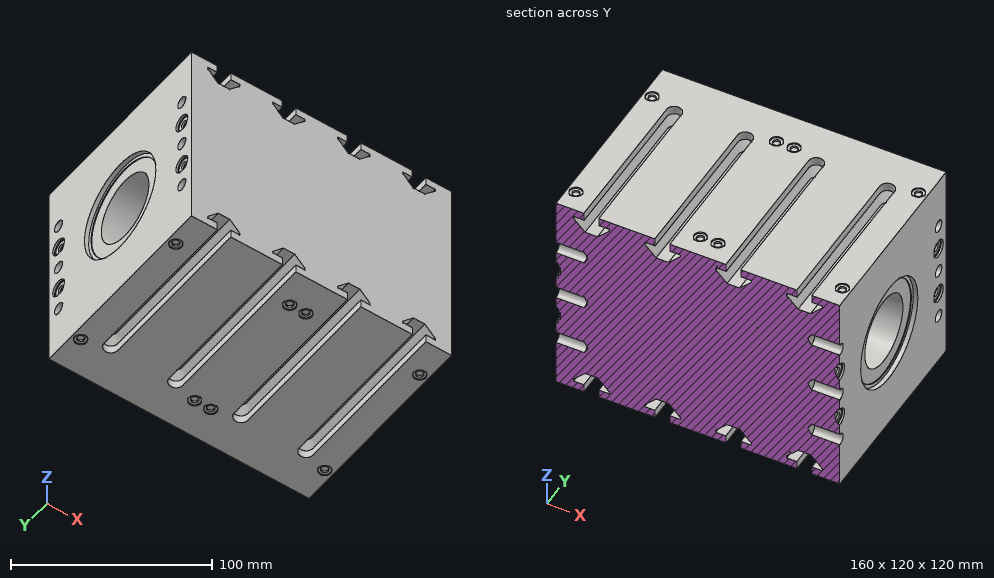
import cadquery as cq
import math

LENGTH = 160.0
DEPTH = 120.0
HEIGHT = 120.0
MID_Z = HEIGHT / 2

SLOT_COUNT = 4
SLOT_PITCH = LENGTH / SLOT_COUNT
SLOT_END_Y = 95.0
NECK_RADIUS = 4.2
HEAD_RADIUS = 10.0
FOOT_RADIUS = 3.5
NECK_DEPTH = 5.0
HEAD_DEPTH = 6.0
SLOT_DEPTH = 12.5

BORE_DIAMETER = 40.0
SEAT_DIAMETER = 60.0
SEAT_DEPTH = 2.5
SEAT_FLOOR_DIAMETER = 56.0
SEAT_FLOOR_DEPTH = 3.0

END_HOLE_INSET = 8.2
END_HOLE_PITCH = 30.0
DRILL_DIAMETER = 6.7
DRILL_DEPTH = 16.0
DRILL_POINT_ANGLE = 118.0
END_RECESS_DIAMETER = 9.8
END_RECESS_DEPTH = 1.1
END_HEAD_DIAMETER = 8.6
END_HEAD_DEPTH = 1.5
END_SOCKET_DIAMETER = 4.3
END_SOCKET_DEPTH = 2.5

FACE_SCREW_INSET_X = 5.0
FACE_SCREW_INSET_Y = 20.0
FACE_RECESS_DIAMETER = 7.0
FACE_RECESS_DEPTH = 0.8
FACE_SOCKET_DIAMETER = 4.2
FACE_SOCKET_DEPTH = 2.0


def stepped_recess(steps):
    """Coaxial cylinders cut down from Z = 0, given as (diameter, depth) pairs."""
    tool = cq.Workplane("XY")
    for diameter, depth in steps:
        tool = tool.union(cq.Workplane("XY").circle(diameter / 2).extrude(-depth))
    return tool


def drilled_hole():
    """Blind hole with a conical drill point, going down from Z = 0."""
    radius = DRILL_DIAMETER / 2
    point_length = radius / math.tan(math.radians(DRILL_POINT_ANGLE / 2))
    outline = [(0, 0), (radius, 0), (radius, -DRILL_DEPTH), (0, -DRILL_DEPTH - point_length)]
    return cq.Workplane("XZ").polyline(outline).close().revolve(360, (0, 0, 0), (0, 1, 0))


def tee_slot():
    """Slot running back from Y = 0, with the swept cutter shape at its closed end."""
    half_profile = [
        (NECK_RADIUS, 0),
        (NECK_RADIUS, -NECK_DEPTH),
        (HEAD_RADIUS, -NECK_DEPTH),
        (HEAD_RADIUS, -HEAD_DEPTH),
        (FOOT_RADIUS, -SLOT_DEPTH),
    ]
    other_half = [(-x, z) for x, z in reversed(half_profile)]
    run = cq.Workplane("XZ").polyline(half_profile + other_half).close().extrude(-SLOT_END_Y)
    cutter_outline = [(0, 0)] + half_profile + [(0, -SLOT_DEPTH)]
    cutter = cq.Workplane("XZ").polyline(cutter_outline).close().revolve(360, (0, 0, 0), (0, 1, 0))
    return run.union(cutter.translate((0, SLOT_END_Y, 0)))


def top_face_cuts():
    """All slots and screw recesses of the top face."""
    cuts = cq.Workplane("XY")
    slot = tee_slot()
    for index in range(SLOT_COUNT):
        cuts = cuts.add(slot.translate(((index + 0.5) * SLOT_PITCH, 0, HEIGHT)))
    screw = stepped_recess([
        (FACE_RECESS_DIAMETER, FACE_RECESS_DEPTH),
        (FACE_SOCKET_DIAMETER, FACE_SOCKET_DEPTH),
    ])
    for mid_offset in (FACE_SCREW_INSET_X, LENGTH / 2 - FACE_SCREW_INSET_X):
        for x in (LENGTH / 2 - mid_offset, LENGTH / 2 + mid_offset):
            for y in (FACE_SCREW_INSET_Y, DEPTH - FACE_SCREW_INSET_Y):
                cuts = cuts.add(screw.translate((x, y, HEIGHT)))
    return cuts.combine()


def left_face_cuts():
    """The bore seat, drilled holes and screw recesses of the left (X = 0) face."""
    def on_left_face(tool, y, z):
        return tool.rotate((0, 0, 0), (0, 1, 0), -90).translate((0, y, z))

    seat = stepped_recess([(SEAT_DIAMETER, SEAT_DEPTH), (SEAT_FLOOR_DIAMETER, SEAT_FLOOR_DEPTH)])
    drill = drilled_hole()
    screw = stepped_recess([
        (END_RECESS_DIAMETER, END_RECESS_DEPTH),
        (END_HEAD_DIAMETER, END_HEAD_DEPTH),
        (END_SOCKET_DIAMETER, END_SOCKET_DEPTH),
    ])
    cuts = cq.Workplane("XY").add(on_left_face(seat, DEPTH / 2, MID_Z))
    for y in (END_HOLE_INSET, DEPTH - END_HOLE_INSET):
        for step in (-1, 0, 1):
            cuts = cuts.add(on_left_face(drill, y, MID_Z + step * END_HOLE_PITCH))
        for step in (-0.5, 0.5):
            cuts = cuts.add(on_left_face(screw, y, MID_Z + step * END_HOLE_PITCH))
    return cuts.combine()


block = cq.Workplane("XY").box(LENGTH, DEPTH, HEIGHT, centered=False)
bore = cq.Workplane("YZ").center(DEPTH / 2, MID_Z).circle(BORE_DIAMETER / 2).extrude(LENGTH)
block = block.cut(bore)

top_cuts = top_face_cuts()
block = block.cut(top_cuts).cut(top_cuts.mirror("XY", (0, 0, MID_Z)))
left_cuts = left_face_cuts()
result = block.cut(left_cuts).cut(left_cuts.mirror("YZ", (LENGTH / 2, 0, 0)))